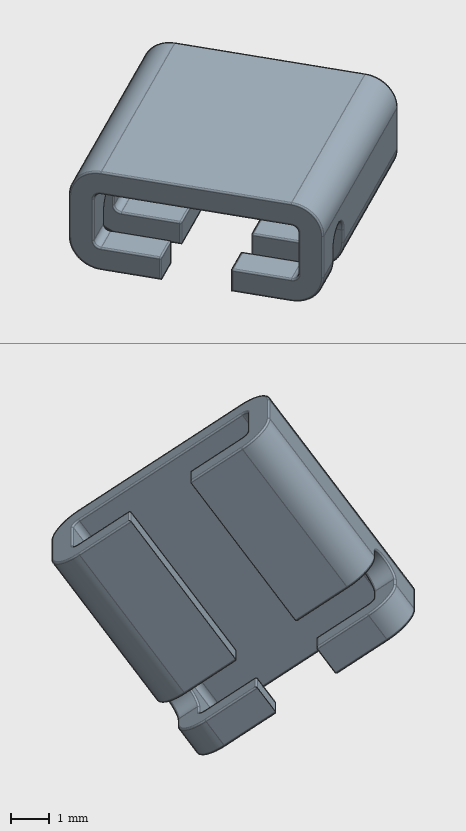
import cadquery as cq

width = 6.9
length = 6.6
height = 3.0

wall = 0.675
outer_bend_radius = 0.87
inner_bend_radius = outer_bend_radius - wall
lip_gap = 1.9

notch_width = 0.9
notch_height = 1.7
front_tongue_length = 0.905

edge_radius = 0.05

notch_radius = notch_width / 2
notch_center_y = -length / 2 + front_tongue_length + notch_radius


def rounded_bar(bar_width, bar_height, bend_radius):
    """Bar along Y, centred on the origin, with its four long edges rounded."""
    bar = cq.Workplane("XY").box(bar_width, length, bar_height)
    return bar.edges("|Y").fillet(bend_radius)


def channel():
    """Strip bent into a C section whose mouth faces down."""
    outside = rounded_bar(width, height, outer_bend_radius)
    inside = rounded_bar(width - 2 * wall, height - 2 * wall, inner_bend_radius)
    mouth = cq.Workplane("XY").box(lip_gap, length, height / 2, centered=(True, True, False))
    return outside.cut(inside).cut(mouth.translate((0, 0, -height / 2)))


def notch():
    """Cutter running through both side walls, open at the bottom."""
    bottom = -height / 2
    spring_line = bottom + notch_height - notch_radius
    return (
        cq.Workplane("YZ")
        .moveTo(notch_center_y - notch_radius, bottom)
        .lineTo(notch_center_y - notch_radius, spring_line)
        .threePointArc(
            (notch_center_y, spring_line + notch_radius),
            (notch_center_y + notch_radius, spring_line),
        )
        .lineTo(notch_center_y + notch_radius, bottom)
        .close()
        .extrude(width / 2, both=True)
    )


def round_edges(body):
    """Round the end faces, the notch walls and the upper edge of each lip tip.

    The lower edges of the lip tips stay sharp.
    """
    tip_z = -height / 2 + wall
    tip_box = cq.selectors.BoxSelector(
        (-lip_gap / 2 - edge_radius, -length, tip_z - edge_radius),
        (lip_gap / 2 + edge_radius, length, tip_z + edge_radius),
    )
    tip_edges = body.edges("|Y").edges(tip_box)
    return body.edges("not |Y").add(tip_edges).fillet(edge_radius)


clip = channel().cut(notch())
result = round_edges(clip)